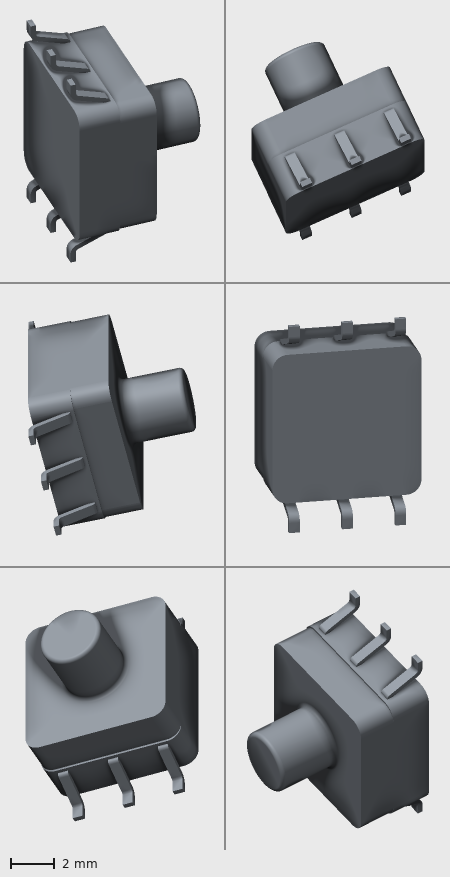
import cadquery as cq
import math

width = 7.0
base_height = 7.2
base_depth = 2.0
cover_height = 7.0
cover_depth = 1.8
corner_radius = 0.7

button_diameter = 3.0
button_length = 3.0
button_edge_radius = 0.2

pin_width = 0.5
pin_thickness = 0.25
pin_pitch = 2.5
pins_per_row = 3
pin_span = 10.0
pin_standoff = 0.15
foot_length = 0.5
leg_angle = 20.0
shoulder_y = 1.81
shoulder_radius = 0.2
foot_inner_radius = 0.18


def rounded_block(height, depth, front_y):
    """Block with corners rounded along Y, reaching from front_y towards +Y."""
    return (
        cq.Workplane("XY")
        .box(width, depth, height)
        .translate((0, front_y + depth / 2, 0))
        .edges("|Y")
        .fillet(corner_radius)
    )


def make_base():
    return rounded_block(base_height, base_depth, 0)


def make_cover():
    """Cover behind the base, with the round button growing out of its rear face."""
    block = rounded_block(cover_height, cover_depth, base_depth)
    rear_face = block.faces(">Y").workplane(centerOption="CenterOfBoundBox")
    cover = rear_face.circle(button_diameter / 2).extrude(button_length)

    cover = cover.faces(">Y").edges().fillet(button_edge_radius)

    root_center = (0, base_depth + cover_depth, 0)
    button_root = cover.edges(cq.NearestToPointSelector(root_center))
    return button_root.fillet(button_edge_radius)


def make_pin(x_center):
    """Gull-wing pin of the upper row, standing on the top face of the base."""
    root_z = base_height / 2
    tip_z = pin_span / 2
    slope = math.tan(math.radians(leg_angle))
    half_bend = math.tan(math.radians((90 - leg_angle) / 2))
    foot_outer_radius = foot_inner_radius + pin_thickness

    outer_y = -pin_standoff
    outer_z = tip_z - foot_length - foot_outer_radius * half_bend
    inner_y = outer_y + pin_thickness
    inner_z = outer_z + pin_thickness * half_bend
    shoulder_z = inner_z - (shoulder_y - inner_y) * slope
    root_front_y = outer_y + (outer_z - root_z) / slope

    pin = (
        cq.Workplane("YZ")
        .polyline([
            (outer_y, tip_z),
            (outer_y, outer_z),
            (root_front_y, root_z),
            (shoulder_y, root_z),
            (shoulder_y, shoulder_z),
            (inner_y, inner_z),
            (inner_y, tip_z),
        ])
        .close()
        .extrude(pin_width / 2, both=True)
    )
    bends = [
        (outer_y, outer_z, foot_outer_radius),
        (inner_y, inner_z, foot_inner_radius),
        (shoulder_y, shoulder_z, shoulder_radius),
    ]
    for y, z, radius in bends:
        pin = pin.edges("|X").edges(cq.NearestToPointSelector((0, y, z))).fillet(radius)
    return pin.translate((x_center, 0, 0))


base = make_base()
cover = make_cover()

pins = []
for index in range(pins_per_row):
    x_center = (index - (pins_per_row - 1) / 2) * pin_pitch
    upper_pin = make_pin(x_center)
    lower_pin = upper_pin.mirror("XY")
    pins.append(upper_pin.val())
    pins.append(lower_pin.val())

result = cq.Compound.makeCompound([base.val(), cover.val(), *pins])